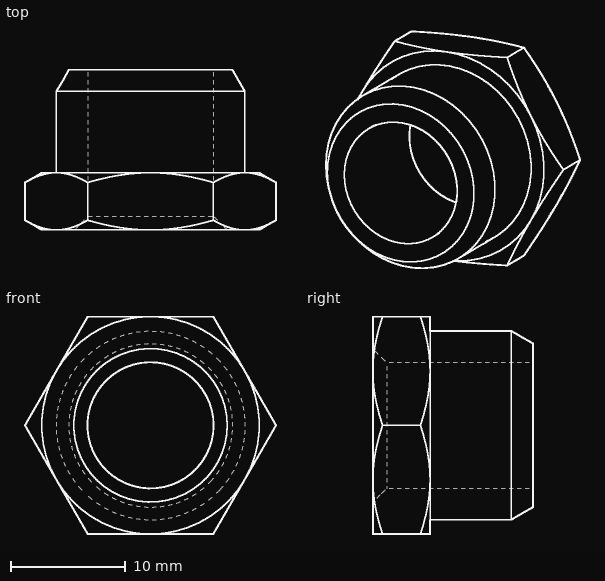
import cadquery as cq
import math

across_flats = 19.0
head_length = 5.0
total_length = 14.0
shank_diameter = 16.5
bore_diameter = 11.0
countersink_diameter = 13.4
countersink_half_angle = math.radians(45)
tip_diameter = 14.3
tip_half_angle = math.radians(30)
corner_bevel_angle = math.radians(30)

flat_radius = across_flats / 2
corner_radius = flat_radius / math.cos(math.pi / 6)
corner_bevel_length = (corner_radius - flat_radius) * math.tan(corner_bevel_angle)
shank_radius = shank_diameter / 2
tip_radius = tip_diameter / 2
tip_length = (shank_radius - tip_radius) / math.tan(tip_half_angle)
bore_radius = bore_diameter / 2
countersink_radius = countersink_diameter / 2
countersink_depth = (countersink_radius - bore_radius) / math.tan(countersink_half_angle)


def revolve_about_y(points):
    """Revolve a closed (radius, y) outline a full turn about the Y axis."""
    return cq.Workplane("XY").polyline(points).close().revolve(360, (0, 0, 0), (0, 1, 0))


def make_hex_head():
    """Hexagon with corners on the X axis, both ends bevelled by a shallow cone."""
    hexagon = (
        cq.Workplane("XZ")
        .polygon(6, 2 * corner_radius)
        .extrude(-head_length)
    )
    bevel_envelope = revolve_about_y([
        (0, 0),
        (flat_radius, 0),
        (corner_radius, corner_bevel_length),
        (corner_radius, head_length - corner_bevel_length),
        (flat_radius, head_length),
        (0, head_length),
    ])
    return hexagon.intersect(bevel_envelope)


def make_shank():
    """Round shank behind the head, tapered at its free end."""
    return revolve_about_y([
        (0, head_length),
        (shank_radius, head_length),
        (shank_radius, total_length - tip_length),
        (tip_radius, total_length),
        (0, total_length),
    ])


def make_bore():
    """Through bore, countersunk at the hex face."""
    return revolve_about_y([
        (0, 0),
        (countersink_radius, 0),
        (bore_radius, countersink_depth),
        (bore_radius, total_length),
        (0, total_length),
    ])


result = make_hex_head().union(make_shank()).cut(make_bore())